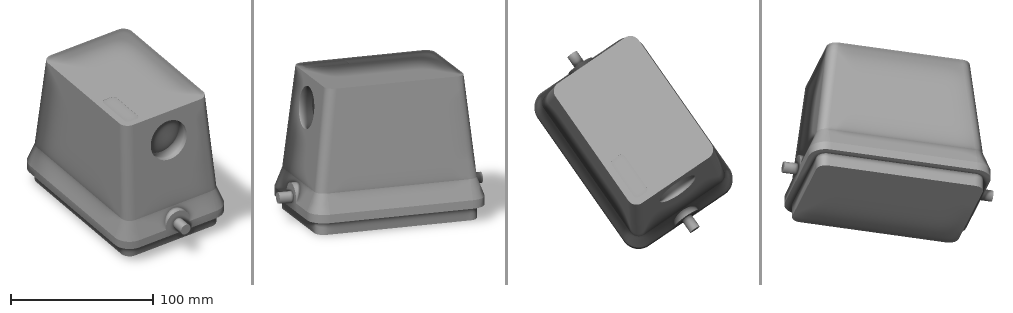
import cadquery as cq

flange_bottom_z = 10.0
flange_edge_z = 16.2
hood_bottom_z = 30.2
hood_top_z = 105.0

skirt_length = 121.0
skirt_width = 79.0
skirt_corner = 7.0
flange_length = 132.0
flange_width = 90.0
flange_corner = skirt_corner + (flange_length - skirt_length) / 2
top_length = 104.0
top_width = 71.0

pin_span = 152.0
pin_diameter = 8.0
pin_z = 18.5
ear_diameter = 20.0
ear_root_x = 50.0

entry_diameter = 30.38
entry_z = 82.5
entry_floor_x = 45.0

plate_length = 32.4
plate_width = 11.2
plate_corner = 3.0
plate_depth = 0.2
plate_x = 31.1
plate_y = -25.0


def rounded_section(length, width, radius, z):
    """Rounded rectangle, centred on Z, at height z."""
    outline = cq.Sketch().rect(length, width).vertices().fillet(radius)
    return outline.moved(cq.Location(cq.Vector(0, 0, z)))


def prism(length, width, radius, bottom_z, top_z):
    """Straight block with rounded vertical corners."""
    section = rounded_section(length, width, radius, bottom_z)
    return cq.Workplane("XY").placeSketch(section).extrude(top_z - bottom_z)


def taper(lower, upper):
    """Straight-sided transition between two rounded sections."""
    return cq.Workplane("XY").placeSketch(lower, upper).loft(ruled=True)


def make_body():
    """Plug-in skirt, flange with sloped shoulder, and tapered hood."""
    skirt = prism(skirt_length, skirt_width, skirt_corner, 0, flange_bottom_z)
    flange = prism(flange_length, flange_width, flange_corner, flange_bottom_z, flange_edge_z)
    flange_edge = rounded_section(flange_length, flange_width, flange_corner, flange_edge_z)
    hood_bottom = rounded_section(skirt_length, skirt_width, skirt_corner, hood_bottom_z)
    hood_top = rounded_section(top_length, top_width, skirt_corner, hood_top_z)
    shoulder = taper(flange_edge, hood_bottom)
    hood = taper(hood_bottom, hood_top)
    return skirt.union(flange).union(shoulder).union(hood)


def make_pin_mount():
    """Round-topped ear, flush with the +X flange face, and its pin."""
    radius = ear_diameter / 2
    ear_face_x = flange_length / 2
    ear = (
        cq.Workplane("YZ", origin=(ear_root_x, 0, 0))
        .moveTo(-radius, flange_bottom_z)
        .lineTo(radius, flange_bottom_z)
        .lineTo(radius, pin_z)
        .threePointArc((0, pin_z + radius), (-radius, pin_z))
        .close()
        .extrude(ear_face_x - ear_root_x)
    )
    pin = (
        cq.Workplane("YZ", origin=(ear_root_x, 0, pin_z))
        .circle(pin_diameter / 2)
        .extrude(pin_span / 2 - ear_root_x)
    )
    return ear.union(pin)


def make_cable_entry():
    """Blind round opening, bored along X into the +X wall."""
    return (
        cq.Workplane("YZ", origin=(entry_floor_x, 0, entry_z))
        .circle(entry_diameter / 2)
        .extrude(skirt_length / 2 - entry_floor_x)
    )


def make_plate_recess():
    """Shallow rounded pocket in the top face."""
    floor_z = hood_top_z - plate_depth
    recess = prism(plate_length, plate_width, plate_corner, floor_z, hood_top_z)
    return recess.translate((plate_x, plate_y, 0))


pin_mount = make_pin_mount()
result = make_body().union(pin_mount).union(pin_mount.mirror("YZ"))
result = result.cut(make_cable_entry()).cut(make_plate_recess())